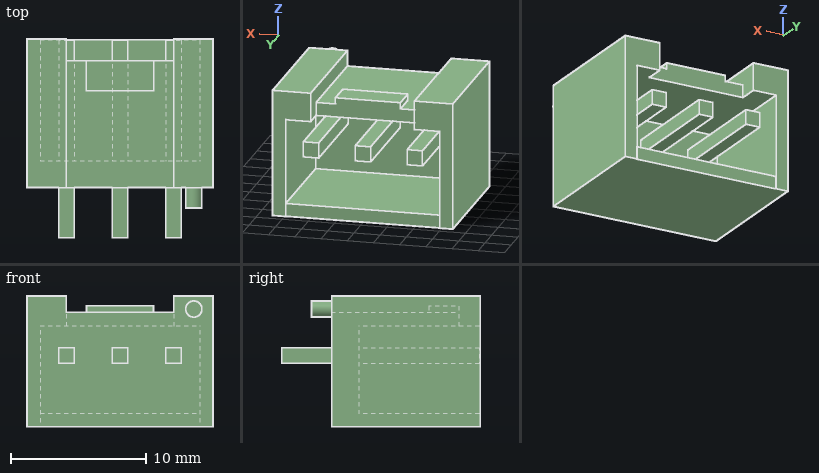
import cadquery as cq

housing_width = 13.76
housing_length = 11.0
housing_height = 9.7
wall = 1.0
base_thickness = 2.0

contact_count = 3
pitch = 3.96
contact_size = 1.17
contact_tail = 3.7
contact_setback = 0.1
contact_z = 5.28

channel_width = (contact_count - 1) * pitch
channel_depth = 1.2
channel_floor_z = housing_height - channel_depth
roof_setback = 1.6
floor_setback = 0.05

latch_width = 4.96
latch_length = 2.22
latch_height = 0.48

peg_diameter = 1.2
peg_length = 1.5
peg_x = 5.46
peg_z = 8.72


def block(width, y_start, y_end, z_start, z_end, x_center=0):
    """Box centred on x_center, spanning the given Y and Z ranges."""
    corner = cq.Vector(x_center - width / 2, y_start, z_start)
    return cq.Workplane(obj=cq.Solid.makeBox(width, y_end - y_start, z_end - z_start, corner))


def make_housing():
    """Shrouded body, open at the mating end, with a channel along its top."""
    body = block(housing_width, 0, housing_length, 0, housing_height)
    channel = block(channel_width, 0, housing_length, channel_floor_z, housing_height)

    cavity_width = housing_width - 2 * wall
    cavity_top = channel_floor_z - wall
    cavity = block(cavity_width, base_thickness, housing_length, wall, cavity_top)

    roof_end = housing_length - roof_setback
    roof_cut = block(channel_width, roof_end, housing_length, wall, housing_height)

    floor_end = housing_length - floor_setback
    floor_cut = block(cavity_width, floor_end, housing_length, 0, wall)

    return body.cut(channel).cut(cavity).cut(roof_cut).cut(floor_cut)


def make_latch():
    """Raised pad on the roof, flush with the roof's mating edge."""
    latch_end = housing_length - roof_setback
    latch_top = channel_floor_z + latch_height
    return block(latch_width, latch_end - latch_length, latch_end, channel_floor_z, latch_top)


def make_contact(x):
    """Square contact running through the base and along the cavity."""
    contact_end = housing_length - contact_setback
    z_start = contact_z - contact_size / 2
    return block(contact_size, -contact_tail, contact_end, z_start, z_start + contact_size, x)


def make_peg():
    """Round locating peg standing out of the mounting face."""
    peg = cq.Workplane("XZ").center(peg_x, peg_z).circle(peg_diameter / 2)
    return peg.extrude(peg_length)


result = make_housing().union(make_latch()).union(make_peg())
for index in range(contact_count):
    contact_x = (index - (contact_count - 1) / 2) * pitch
    result = result.union(make_contact(contact_x))